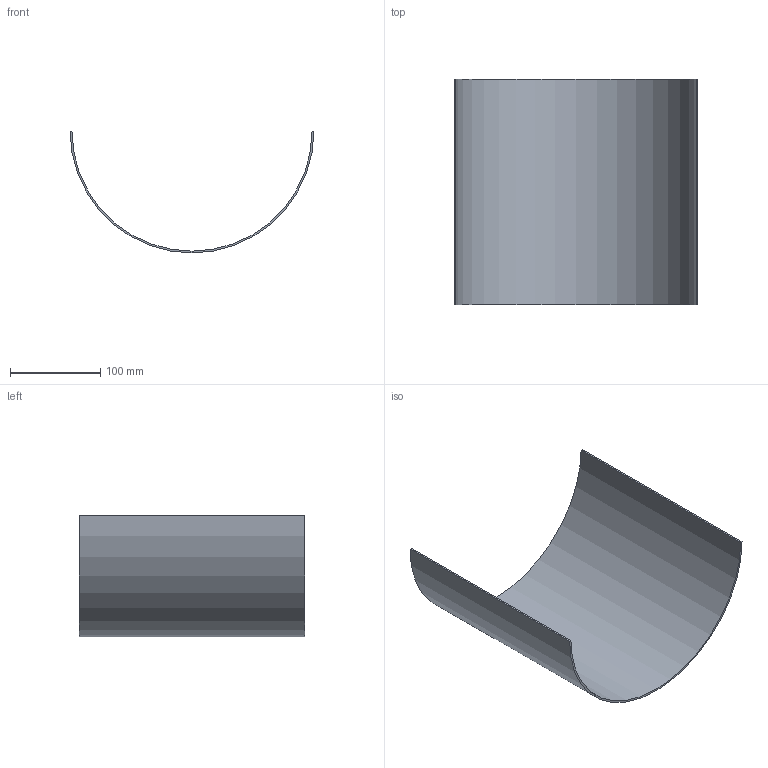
import cadquery as cq

outer_diameter = 270.0
wall_thickness = 2.0
length = 250.0

outer_radius = outer_diameter / 2
inner_radius = outer_radius - wall_thickness


def half_pipe_profile():
    """Semicircular ring in the XZ plane, below the axis, with flat rims at Z = 0."""
    return (
        cq.Workplane("XZ")
        .moveTo(-outer_radius, 0)
        .threePointArc((0, -outer_radius), (outer_radius, 0))
        .lineTo(inner_radius, 0)
        .threePointArc((0, -inner_radius), (-inner_radius, 0))
        .close()
    )


result = half_pipe_profile().extrude(length / 2, both=True)